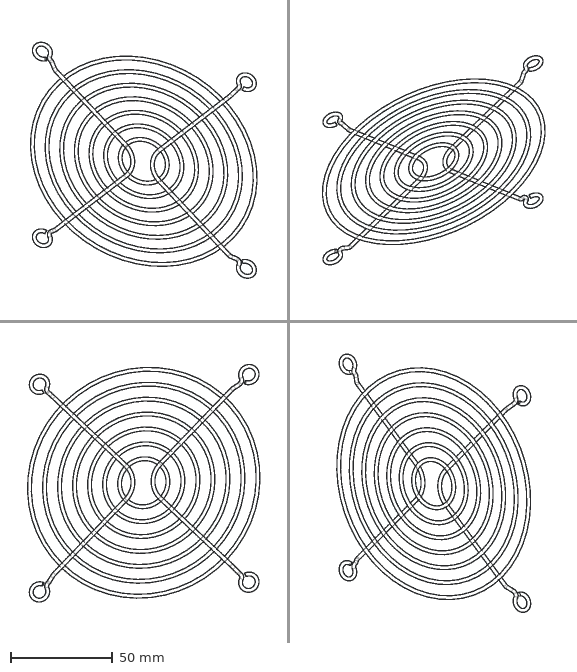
import cadquery as cq
import math

WIRE_DIAMETER = 2.0
GUARD_DIAMETER = 117.2
RING_COUNT = 7
INNER_RING_RADIUS = 12.2
OUTER_RING_RADIUS = (GUARD_DIAMETER - WIRE_DIAMETER) / 2
RING_PITCH = (OUTER_RING_RADIUS - INNER_RING_RADIUS) / (RING_COUNT - 1)

RING_PLANE_Y = 0.0
SPOKE_PLANE_Y = RING_PLANE_Y - WIRE_DIAMETER
LOOP_OFFSET = 3.0
LOOP_PLANE_Y = SPOKE_PLANE_Y + LOOP_OFFSET

LOOP_CENTER = 52.7
LOOP_RADIUS = 4.16
DIAGONAL_ANGLE = math.radians(45)
INWARD_ANGLE = math.radians(225)
LOOP_JOIN_TURN = math.radians(20)
LOOP_JOIN_ANGLE = INWARD_ANGLE - LOOP_JOIN_TURN
LOOP_GAP_TURN = math.radians(20)

ELBOW_RADIUS = LOOP_RADIUS * math.sin(LOOP_JOIN_TURN) / (1 - math.sin(LOOP_JOIN_TURN))
ELBOW_OFFSET = LOOP_RADIUS + ELBOW_RADIUS

STEP_ANGLE = math.radians(38)
STEP_RADIUS = 2.3

CENTER_BEND_RADIUS = INNER_RING_RADIUS


def make_ring(radius):
    return cq.Solid.makeTorus(
        radius, WIRE_DIAMETER / 2, cq.Vector(0, RING_PLANE_Y, 0), cq.Vector(0, 1, 0)
    )


def polar_point(center, radius, angle, y):
    x, z = center
    return cq.Vector(x + radius * math.cos(angle), y, z + radius * math.sin(angle))


def diagonal_point(distance, y):
    return polar_point((0, 0), distance, DIAGONAL_ANGLE, y)


def loop_points():
    """Free end, middle and joined end of the open loop."""
    free_end = INWARD_ANGLE + LOOP_GAP_TURN
    joined_end = LOOP_JOIN_ANGLE + 2 * math.pi
    center = (LOOP_CENTER, LOOP_CENTER)
    return [
        polar_point(center, LOOP_RADIUS, angle, LOOP_PLANE_Y)
        for angle in (free_end, (free_end + joined_end) / 2, joined_end)
    ]


def elbow_points():
    """Middle and end of the elbow, tangent to both the loop and the diagonal."""
    x = LOOP_CENTER + ELBOW_OFFSET * math.cos(LOOP_JOIN_ANGLE)
    z = LOOP_CENTER + ELBOW_OFFSET * math.sin(LOOP_JOIN_ANGLE)
    start = LOOP_JOIN_ANGLE - math.pi
    end = DIAGONAL_ANGLE - math.pi / 2
    return [
        polar_point((x, z), ELBOW_RADIUS, angle, LOOP_PLANE_Y)
        for angle in ((start + end) / 2, end)
    ]


def step_points():
    """Outer bend (middle, end), then inner bend (start, middle, end) of the step."""
    def bend_run(angle):
        return STEP_RADIUS * math.sin(angle)

    def bend_drop(angle):
        return STEP_RADIUS * (1 - math.cos(angle))

    slope_drop = LOOP_OFFSET - 2 * bend_drop(STEP_ANGLE)
    slope_run = slope_drop / math.tan(STEP_ANGLE)
    outer = LOOP_CENTER * math.sqrt(2) - ELBOW_OFFSET * math.cos(LOOP_JOIN_TURN)
    inner = outer - slope_run - 2 * bend_run(STEP_ANGLE)
    half, full = STEP_ANGLE / 2, STEP_ANGLE
    return [
        diagonal_point(outer - bend_run(half), LOOP_PLANE_Y - bend_drop(half)),
        diagonal_point(outer - bend_run(full), LOOP_PLANE_Y - bend_drop(full)),
        diagonal_point(inner + bend_run(full), SPOKE_PLANE_Y + bend_drop(full)),
        diagonal_point(inner + bend_run(half), SPOKE_PLANE_Y + bend_drop(half)),
        diagonal_point(inner, SPOKE_PLANE_Y),
    ]


def mirrored(point):
    return cq.Vector(point.x, point.y, -point.z)


def arm_edges(place):
    """Centre line of one arm, loop to middle bend, with each point moved by place."""
    loop_start, loop_middle, loop_end = map(place, loop_points())
    elbow_middle, elbow_end = map(place, elbow_points())
    outer_middle, outer_end, inner_start, inner_middle, inner_end = map(place, step_points())
    bend_start = place(diagonal_point(CENTER_BEND_RADIUS, SPOKE_PLANE_Y))
    return [
        cq.Edge.makeThreePointArc(loop_start, loop_middle, loop_end),
        cq.Edge.makeThreePointArc(loop_end, elbow_middle, elbow_end),
        cq.Edge.makeThreePointArc(elbow_end, outer_middle, outer_end),
        cq.Edge.makeLine(outer_end, inner_start),
        cq.Edge.makeThreePointArc(inner_start, inner_middle, inner_end),
        cq.Edge.makeLine(inner_end, bend_start),
    ]


def center_bend_edge():
    """Quarter-turn bend whose ends lie on the two diagonals."""
    start = diagonal_point(CENTER_BEND_RADIUS, SPOKE_PLANE_Y)
    bend_center_x = CENTER_BEND_RADIUS * math.sqrt(2)
    apex = cq.Vector(bend_center_x - CENTER_BEND_RADIUS, SPOKE_PLANE_Y, 0)
    return cq.Edge.makeThreePointArc(start, apex, mirrored(start))


def make_spoke():
    """Spoke wire on the +X side, with a loop at each end."""
    upper_arm = arm_edges(lambda point: point)
    lower_arm = arm_edges(mirrored)
    path = cq.Wire.assembleEdges(upper_arm + [center_bend_edge()] + lower_arm[::-1])
    loop_tangent = upper_arm[0].tangentAt(0)
    profile_plane = cq.Plane(origin=upper_arm[0].startPoint(), normal=loop_tangent)
    return cq.Workplane(profile_plane).circle(WIRE_DIAMETER / 2).sweep(path).val()


rings = [make_ring(INNER_RING_RADIUS + index * RING_PITCH) for index in range(RING_COUNT)]

right_spoke = make_spoke()
spokes = [right_spoke, right_spoke.mirror("YZ")]

result = cq.Compound.makeCompound([*rings, *spokes])